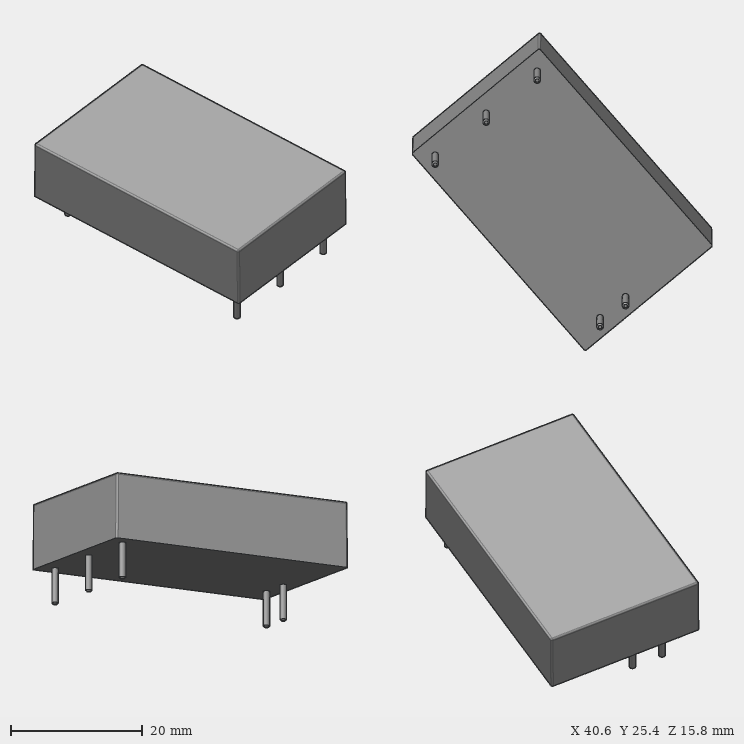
import cadquery as cq

length = 40.6
width = 25.4
total_height = 15.8
pin_length = 5.6
case_height = total_height - pin_length
end_lean = 0.1
edge_radius = 0.3

pin_diameter = 1.0
pin_tip_chamfer = 0.25
pin_row_x = 17.8
outer_pin_y = 10.15
grid_pitch = outer_pin_y / 4
left_row_steps = (-3, -1)
right_row_steps = (-4, 0, 4)


def make_case():
    """Tapered block with rounded top and upright edges and a flat underside."""
    half_bottom = length / 2
    half_top = half_bottom - end_lean
    profile = [
        (-half_bottom, 0),
        (half_bottom, 0),
        (half_top, case_height),
        (-half_top, case_height),
    ]
    block = cq.Workplane("XZ").polyline(profile).close().extrude(width / 2, both=True)
    return block.edges("not <Z").fillet(edge_radius)


def make_pin(x, y):
    """Round pin hanging from the underside, with a chamfered tip."""
    pin = cq.Workplane("XY").center(x, y).circle(pin_diameter / 2).extrude(-pin_length)
    return pin.faces("<Z").chamfer(pin_tip_chamfer)


result = make_case()
for row_x, steps in ((-pin_row_x, left_row_steps), (pin_row_x, right_row_steps)):
    for step in steps:
        result = result.union(make_pin(row_x, step * grid_pitch))